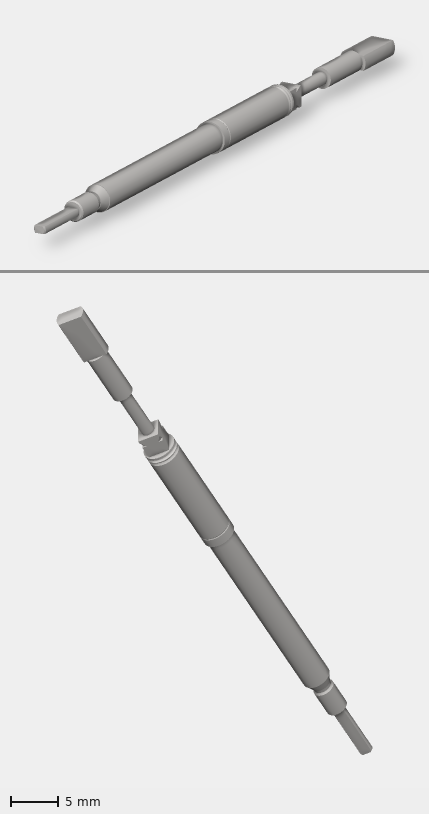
import cadquery as cq
import math

TAIL_SHOULDER = 6.9
TAIL_BODY_END = 10.35
NECK_END = 10.8
BARREL_START = 11.8
COLLAR_START = 34.6
COLLAR_END = 48.65
BLOCK_END = 51.15
SLEEVE_START = 57.1
HEAD_START = 63.5
TOTAL_LENGTH = 69.5

TAIL_DIAMETER = 1.45
BODY_DIAMETER = 2.35
NECK_DIAMETER = 1.95
CONE_START_DIAMETER = 2.15
CONE_END_DIAMETER = 3.0
BARREL_DIAMETER = 3.1
COLLAR_DIAMETER = 3.6
ROD_DIAMETER = TAIL_DIAMETER
SLEEVE_DIAMETER = BODY_DIAMETER
HEAD_DIAMETER = BARREL_DIAMETER

TAIL_THICKNESS = 0.8
HEAD_THICKNESS = 1.7
BLOCK_WIDTH = BODY_DIAMETER

TIP_BEVEL = 0.15
SHOULDER_BEVEL = 0.15
BODY_END_BEVEL = (BODY_DIAMETER - NECK_DIAMETER) / 2

COLLAR_GROOVES = (
    (35.65, 35.85, 3.5),
    (47.55, 47.95, 3.2),
    (48.0, 48.4, 2.9),
)

NICK_START = 50.2
NICK_END = 50.9
NICK_FLOOR_DIAMETER = 2.7


def revolve_about_y(points):
    """Solid of revolution from (radius, y) outline points."""
    return cq.Workplane("XY").polyline(points).close().revolve(360, (0, 0), (0, 1))


def cylinder(diameter, start, end):
    radius = diameter / 2
    return revolve_about_y([(0, start), (radius, start), (radius, end), (0, end)])


def box_along_y(width, height, start, end):
    length = end - start
    return cq.Workplane("XY").box(width, length, height).translate((0, start + length / 2, 0))


def flattened_cylinder(diameter, thickness, start, end):
    """Round bar with two parallel flats facing +Z and -Z."""
    return cylinder(diameter, start, end).intersect(box_along_y(diameter, thickness, start, end))


def tail_blade():
    radius = TAIL_DIAMETER / 2
    bar = revolve_about_y([
        (0, 0),
        (radius - TIP_BEVEL, 0),
        (radius, TIP_BEVEL),
        (radius, TAIL_SHOULDER),
        (0, TAIL_SHOULDER),
    ])
    return bar.intersect(box_along_y(TAIL_DIAMETER, TAIL_THICKNESS, 0, TAIL_SHOULDER))


def body_and_barrel():
    """Tail body, neck and long barrel, joined by conical transitions."""
    body_radius = BODY_DIAMETER / 2
    neck_radius = NECK_DIAMETER / 2
    barrel_radius = BARREL_DIAMETER / 2
    return revolve_about_y([
        (0, TAIL_SHOULDER),
        (body_radius - SHOULDER_BEVEL, TAIL_SHOULDER),
        (body_radius, TAIL_SHOULDER + SHOULDER_BEVEL),
        (body_radius, TAIL_BODY_END - BODY_END_BEVEL),
        (neck_radius, TAIL_BODY_END),
        (neck_radius, NECK_END),
        (CONE_START_DIAMETER / 2, NECK_END),
        (CONE_END_DIAMETER / 2, BARREL_START),
        (barrel_radius, BARREL_START),
        (barrel_radius, COLLAR_START),
        (0, COLLAR_START),
    ])


def collar():
    rim_radius = COLLAR_DIAMETER / 2
    profile = [(0, COLLAR_START), (rim_radius, COLLAR_START)]
    for start, end, floor_diameter in COLLAR_GROOVES:
        middle = (start + end) / 2
        profile.append((rim_radius, start))
        profile.append((floor_diameter / 2, middle))
        profile.append((rim_radius, end))
    profile += [(rim_radius, COLLAR_END), (0, COLLAR_END)]
    return revolve_about_y(profile)


def square_block():
    floor_radius = NICK_FLOOR_DIAMETER / 2
    corner_radius = math.hypot(BLOCK_WIDTH, BLOCK_WIDTH) / 2
    nick = revolve_about_y([
        (floor_radius, NICK_START),
        (corner_radius, NICK_START),
        (corner_radius, NICK_END),
    ])
    return box_along_y(BLOCK_WIDTH, BLOCK_WIDTH, COLLAR_END, BLOCK_END).cut(nick)


result = (
    tail_blade()
    .union(body_and_barrel())
    .union(collar())
    .union(square_block())
    .union(cylinder(ROD_DIAMETER, BLOCK_END, SLEEVE_START))
    .union(cylinder(SLEEVE_DIAMETER, SLEEVE_START, HEAD_START))
    .union(flattened_cylinder(HEAD_DIAMETER, HEAD_THICKNESS, HEAD_START, TOTAL_LENGTH))
)